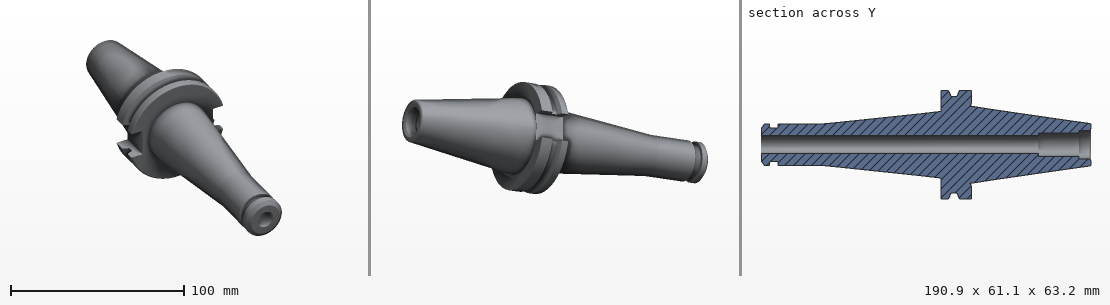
import cadquery as cq
import math

length = 190.9

taper_ratio = 7 / 24
gauge_radius = 44.5 / 2
taper_end = 68.3
taper_start_radius = gauge_radius - taper_end * taper_ratio / 2
taper_round = 1.5

flange_start = 69.3
flange_end = 87.0
flange_radius = 63.2 / 2
flange_round = 0.8
face_recess_radius = 23.9
face_recess_depth = 0.8
groove_center = 79.5
groove_depth = 3.6
groove_floor_width = 3.0
groove_side_angle = 24.0

slot_width = 16.2
slot_floor = 23.3

nose_radius = 24.0 / 2
cone_start = 88.0
cone_end = 156.5
cone_start_radius = 19.3
nose_bevel_length = 2.0
nose_bevel_depth = 2.7
nose_bevel_round = 0.4
ring_groove_start = 181.3
ring_groove_end = 185.7
ring_groove_radius = 19.5 / 2
ring_groove_chamfer = 0.4
ring_groove_fillet = 0.5

through_radius = 10.1 / 2
thread_radius = 13.4 / 2
thread_end = 30.5
counterbore_radius = 16.2 / 2
counterbore_depth = 7.0
mouth_radius = 19.5 / 2
mouth_depth = 1.0


def revolve_about_x(outline):
    """Close an (X, radius) outline and turn it about the X axis."""
    return outline.close().revolve(360, (0, 0, 0), (1, 0, 0))


def disc(start, end, radius):
    return cq.Workplane("YZ").workplane(offset=start).circle(radius).extrude(end - start)


def make_taper():
    outline = (
        cq.Workplane("XY")
        .lineTo(0, taper_start_radius)
        .lineTo(taper_end, gauge_radius)
        .lineTo(flange_end, gauge_radius)
        .lineTo(flange_end, 0)
    )
    return revolve_about_x(outline).faces("<X").edges().fillet(taper_round)


def make_gripper_groove():
    half_floor = groove_floor_width / 2
    half_mouth = half_floor + groove_depth * math.tan(math.radians(groove_side_angle))
    floor_radius = flange_radius - groove_depth
    outline = cq.Workplane("XY").polyline([
        (groove_center - half_mouth, flange_radius),
        (groove_center - half_floor, floor_radius),
        (groove_center + half_floor, floor_radius),
        (groove_center + half_mouth, flange_radius),
    ])
    return revolve_about_x(outline)


def make_face_recess():
    outline = cq.Workplane("XY").polyline([
        (flange_start, gauge_radius),
        (flange_start, face_recess_radius),
        (flange_start + face_recess_depth, gauge_radius),
    ])
    return revolve_about_x(outline)


def make_flange():
    flange = disc(flange_start, flange_end, flange_radius)
    flange = flange.faces(">X").edges().fillet(flange_round)
    flange = flange.cut(make_gripper_groove()).cut(make_face_recess())
    slot_height = flange_radius - slot_floor
    slot_center = (flange_start + flange_end) / 2
    for side in (-1, 1):
        slot = cq.Workplane("XY").box(flange_end - flange_start, slot_height, slot_width)
        flange = flange.cut(slot.translate((slot_center, side * (slot_floor + slot_height / 2), 0)))
    return flange


def make_nose():
    outline = (
        cq.Workplane("XY")
        .moveTo(flange_start, 0)
        .lineTo(flange_start, cone_start_radius)
        .lineTo(cone_start, cone_start_radius)
        .lineTo(cone_end, nose_radius)
        .lineTo(length - nose_bevel_length, nose_radius)
        .lineTo(length, nose_radius - nose_bevel_depth)
        .lineTo(length, 0)
    )
    nose = revolve_about_x(outline)
    bevel_edge = cq.selectors.BoxSelector(
        (length - 1.5 * nose_bevel_length, -length, -length),
        (length - 0.5 * nose_bevel_length, length, length),
    )
    return nose.edges("%CIRCLE").edges(bevel_edge).fillet(nose_bevel_round)


def make_ring_groove():
    """Groove with a chamfered -X rim and a rounded corner at the +X end of its floor."""
    center = (ring_groove_end - ring_groove_fillet, ring_groove_radius + ring_groove_fillet)
    arc_middle = (
        center[0] + ring_groove_fillet * math.cos(math.radians(45)),
        center[1] - ring_groove_fillet * math.sin(math.radians(45)),
    )
    outline = (
        cq.Workplane("XY")
        .moveTo(ring_groove_start - ring_groove_chamfer, nose_radius)
        .lineTo(ring_groove_start, nose_radius - ring_groove_chamfer)
        .lineTo(ring_groove_start, ring_groove_radius)
        .lineTo(center[0], ring_groove_radius)
        .threePointArc(arc_middle, (ring_groove_end, center[1]))
        .lineTo(ring_groove_end, nose_radius)
    )
    return revolve_about_x(outline)


def make_bore():
    outline = (
        cq.Workplane("XY")
        .lineTo(0, mouth_radius)
        .lineTo(mouth_depth, counterbore_radius)
        .lineTo(counterbore_depth, counterbore_radius)
        .lineTo(counterbore_depth, thread_radius)
        .lineTo(thread_end, thread_radius)
        .lineTo(thread_end, through_radius)
        .lineTo(length, through_radius)
        .lineTo(length, 0)
    )
    return revolve_about_x(outline)


body = make_taper().union(make_flange()).union(make_nose())
result = body.cut(make_ring_groove()).cut(make_bore())